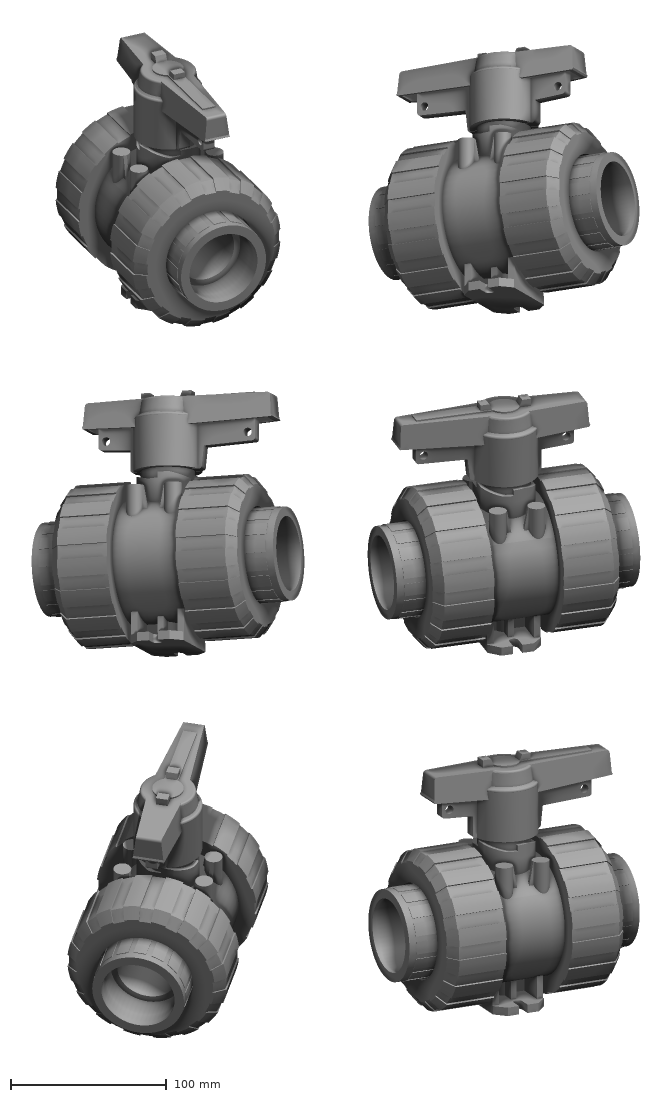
import cadquery as cq
import math

BORE_RADIUS = 19.9
SHELL_RADIUS = 40.9

BODY_HALF_LENGTH = 45.0
STEM_RADIUS = 17.5
STEM_TOP = 73.6
NECK_RADIUS = 20.35
NECK_HALF_WIDTH = 18.6
NECK_TOP = 55.2
CAM_DROP = 3.9
CAM_RAMP_START = -7.9
CAM_RAMP_END = 8.6

PIN_RADIUS = 5.75
PIN_X = 13.0
PIN_Y = 27.0
PIN_TOP = 45.6
GUSSET_THICKNESS = 2.4
GUSSET_SLOPE = 0.187
GUSSET_DIRECTIONS = (0, -112)

FOOT_BOTTOM = -56.45
FOOT_THICKNESS = 5.7
FOOT_HALF_X = 18.1
FOOT_HALF_Y = 28.3
FOOT_CHAMFER = 7.1
FOOT_SLOT_RADIUS = 3.1
FOOT_SLOT_CENTRE = 20.5
FOOT_WALL = 4.6
FOOT_WALL_HALF_Y = 20.4
FOOT_RIB_HALF = 2.0
FOOT_RIB_HALF_Y = 14.4
FOOT_BOSS_RADIUS = 6.1

NUT_INNER_FACE = 23.5
NUT_OUTER_FACE = 63.0
NUT_BEVEL_START = 57.2
NUT_SHOULDER = 55.0
NUT_BORE_RADIUS = 31.7
NUT_RADIUS = 51.65
NUT_BEVEL_DROP = 6.8
NUT_RIB_RADIUS = 52.76
NUT_RIB_ANGLE = 12.5

PIPE_END = 82.2
PIPE_RADIUS = 30.3
SOCKET_RADIUS = 24.2
SOCKET_DEPTH = 25.5
PAD_RADIUS = 30.75
PAD_END = 77.3
PAD_ANGLE = 16.0
RIB_COUNT = 16
RIB_PITCH = 360 / RIB_COUNT

GRIP_TOP = 105.4
GRIP_LEFT = -54.4
GRIP_RIGHT = 72.8
GRIP_DRAFT = 0.9
GRIP_END_ROUND = 2.0
GRIP_END_BOTTOM = 88.2
GRIP_BELLY = 86.0
GRIP_BELLY_SLOPE = 0.04
GRIP_LIP = 0.7
GRIP_LIP_HEIGHT = 1.2
GRIP_HALF_WIDTH_BOTTOM = 14.85
GRIP_HALF_WIDTH_TOP = 12.45
GRIP_TAPER = 0.078
GRIP_WALL = 2.0
GRIP_ROOF = GRIP_TOP - GRIP_WALL

SLEEVE_BOTTOM = 58.7
SLEEVE_RADIUS = 22.15
SLEEVE_SLOT_HALF = 4.8
SHOULDER_RADIUS = 20.9
SHOULDER_BOTTOM = 92.3
SHOULDER_TOP = 94.1
DOME_BASE_RADIUS = 19.6
DOME_BASE = 95.2
DOME_TOP_RADIUS = 17.9
DOME_ROUND = 1.6

BLADE_HALF = 3.9
BLADE_LEFT = -46.0
BLADE_RIGHT = 60.7
BLADE_TIP_BOTTOM = 75.0
BLADE_LEG_X = 24.2
BLADE_LEG_FLARE = 1.6
BLADE_ROUND = 2.0
BLADE_HOLE_RADIUS = 2.8
BLADE_HOLE_INSET = 5.2
BLADE_HOLE_Z = 80.5

CAP_RADIUS = 10.1
CAP_TOP = 106.45
STRIP_HALF = 4.55
TAB_TOP = FOOT_BOTTOM + 166.87
TAB_OUTER = 17.0
TAB_INNER_TOP = 11.1
TAB_INNER_BOTTOM = 9.3


def box(x0, x1, y0, y1, z0, z1):
    """Box between two opposite corners."""
    return cq.Workplane("XY").box(x1 - x0, y1 - y0, z1 - z0, centered=False).translate((x0, y0, z0))


def cylinder(radius, z0, z1):
    """Cylinder on the stem axis."""
    return cq.Workplane("XY").workplane(offset=z0).circle(radius).extrude(z1 - z0)


def turned(profile, angle=360):
    """Revolve (x, radius) points about the pipe axis."""
    return cq.Workplane("XZ").polyline(profile).close().revolve(angle, (0, 0, 0), (1, 0, 0))


def around_pipe(sector, angle, first):
    """Copies of a sector that is `angle` wide, equally spaced about the pipe axis."""
    copies = []
    for i in range(RIB_COUNT):
        turn = first + i * RIB_PITCH - angle / 2
        copies.append(sector.rotate((0, 0, 0), (1, 0, 0), turn))
    return copies


def cam_cutter(quadrant):
    """Space above one ramp of the neck rim: high land, ramp down, low land, upright step."""
    low = NECK_TOP - CAM_DROP
    reach = NECK_RADIUS + 1
    above = NECK_TOP + 1
    slope = CAM_DROP / (CAM_RAMP_END - CAM_RAMP_START)
    ramp = (
        cq.Workplane("YZ")
        .moveTo(CAM_RAMP_START - 1 / slope, above)
        .lineTo(CAM_RAMP_END, low)
        .lineTo(reach, low)
        .lineTo(reach, above)
        .close()
        .extrude(2 * reach)
        .rotate((0, 0, 0), (0, 0, 1), 45)
    )
    cutter = ramp.intersect(box(0, reach, 0, reach, low, above))
    return cutter.rotate((0, 0, 0), (0, 0, 1), 90 * quadrant)


def make_neck():
    neck = cylinder(NECK_RADIUS, 0, NECK_TOP)
    neck = neck.intersect(
        box(-NECK_HALF_WIDTH, NECK_HALF_WIDTH, -NECK_RADIUS, NECK_RADIUS, 0, NECK_TOP)
    )
    for quadrant in range(4):
        neck = neck.cut(cam_cutter(quadrant))
    return neck.union(cylinder(STEM_RADIUS, 0, STEM_TOP))


def make_pin():
    """Pin at -X, +Y with two sloping gussets, rising from inside the barrel."""
    pin = cylinder(PIN_RADIUS, 0, PIN_TOP)
    foot_reach = PIN_RADIUS + GUSSET_SLOPE * PIN_TOP
    for direction in GUSSET_DIRECTIONS:
        gusset = (
            cq.Workplane("XZ")
            .polyline([(0, 0), (foot_reach, 0), (PIN_RADIUS, PIN_TOP), (0, PIN_TOP)])
            .close()
            .extrude(GUSSET_THICKNESS / 2, both=True)
            .rotate((0, 0, 0), (0, 0, 1), direction)
        )
        pin = pin.union(gusset)
    return pin.translate((-PIN_X, PIN_Y, 0))


def make_foot():
    plate_top = FOOT_BOTTOM + FOOT_THICKNESS
    plate = box(-FOOT_HALF_X, FOOT_HALF_X, -FOOT_HALF_Y, FOOT_HALF_Y, FOOT_BOTTOM, plate_top)
    foot = plate.edges("|Z").chamfer(FOOT_CHAMFER)
    for side in (-1, 1):
        slot = (
            cq.Workplane("XY")
            .workplane(offset=FOOT_BOTTOM)
            .center(0, side * FOOT_HALF_Y)
            .slot2D(2 * (FOOT_HALF_Y - FOOT_SLOT_CENTRE + FOOT_SLOT_RADIUS), 2 * FOOT_SLOT_RADIUS, 90)
            .extrude(FOOT_THICKNESS)
        )
        foot = foot.cut(slot)
        wall_middle = side * (FOOT_HALF_X - FOOT_WALL / 2)
        foot = foot.union(
            box(wall_middle - FOOT_WALL / 2, wall_middle + FOOT_WALL / 2,
                -FOOT_WALL_HALF_Y, FOOT_WALL_HALF_Y, plate_top, 0)
        )
    foot = foot.union(box(-FOOT_HALF_X, FOOT_HALF_X, -FOOT_RIB_HALF, FOOT_RIB_HALF, plate_top, 0))
    foot = foot.union(box(-FOOT_RIB_HALF, FOOT_RIB_HALF, -FOOT_RIB_HALF_Y, FOOT_RIB_HALF_Y, plate_top, 0))
    return foot.union(cylinder(FOOT_BOSS_RADIUS, plate_top, 0))


def make_body():
    barrel = cq.Workplane("YZ").circle(SHELL_RADIUS).extrude(BODY_HALF_LENGTH, both=True)
    pin = make_pin()
    body = barrel.union(make_neck()).union(make_foot())
    for one_side in (pin, pin.mirror("YZ")):
        body = body.union(one_side).union(one_side.mirror("XZ"))
    return body.cut(cq.Workplane("YZ").circle(BORE_RADIUS).extrude(BODY_HALF_LENGTH, both=True))


def nut_profile(outer_radius):
    return [
        (NUT_INNER_FACE, SHELL_RADIUS),
        (NUT_INNER_FACE, outer_radius),
        (NUT_BEVEL_START, outer_radius),
        (NUT_OUTER_FACE, outer_radius - NUT_BEVEL_DROP),
        (NUT_OUTER_FACE, NUT_BORE_RADIUS),
        (NUT_SHOULDER, NUT_BORE_RADIUS),
        (NUT_SHOULDER, SHELL_RADIUS),
    ]


def make_nut():
    nut = turned(nut_profile(NUT_RADIUS))
    rib = turned(nut_profile(NUT_RIB_RADIUS), NUT_RIB_ANGLE)
    for copy in around_pipe(rib, NUT_RIB_ANGLE, RIB_PITCH / 2):
        nut = nut.union(copy)
    return nut


def make_connector():
    connector = turned([
        (BODY_HALF_LENGTH, BORE_RADIUS),
        (BODY_HALF_LENGTH, SHELL_RADIUS),
        (NUT_SHOULDER, SHELL_RADIUS),
        (NUT_SHOULDER, PIPE_RADIUS),
        (PIPE_END, PIPE_RADIUS),
        (PIPE_END, SOCKET_RADIUS),
        (PIPE_END - SOCKET_DEPTH, SOCKET_RADIUS),
        (PIPE_END - SOCKET_DEPTH, BORE_RADIUS),
    ]).rotate((0, 0, 0), (1, 0, 0), -90)
    pad_floor = (PIPE_RADIUS + SOCKET_RADIUS) / 2
    pad = turned([
        (NUT_SHOULDER, pad_floor),
        (NUT_SHOULDER, PAD_RADIUS),
        (PAD_END, PAD_RADIUS),
        (PAD_END, pad_floor),
    ], PAD_ANGLE)
    for copy in around_pipe(pad, PAD_ANGLE, 0):
        connector = connector.union(copy)
    return connector


def grip_outline(height, inset):
    """Plan of the grip at a height: widest on the stem axis, narrowing evenly past both ends."""
    rise = (height - GRIP_BELLY) / (GRIP_TOP - GRIP_BELLY)
    half_width = GRIP_HALF_WIDTH_BOTTOM + rise * (GRIP_HALF_WIDTH_TOP - GRIP_HALF_WIDTH_BOTTOM) - inset
    left = GRIP_LEFT - GRIP_LIP
    right = GRIP_RIGHT + GRIP_LIP
    left_half = half_width + GRIP_TAPER * left
    right_half = half_width - GRIP_TAPER * right
    return [
        (left, -left_half),
        (0, -half_width),
        (right, -right_half),
        (right, right_half),
        (0, half_width),
        (left, left_half),
    ]


def grip_taper(inset):
    """Block with the sloping sides of the grip, a little taller than the grip."""
    low = GRIP_BELLY - 1
    high = GRIP_TOP + 1
    return (
        cq.Workplane("XY")
        .workplane(offset=low)
        .polyline(grip_outline(low, inset))
        .close()
        .workplane(offset=high - low)
        .polyline(grip_outline(high, inset))
        .close()
        .loft(ruled=True)
    )


def make_grip():
    lip_middle = GRIP_END_BOTTOM + GRIP_LIP_HEIGHT
    lip_top = lip_middle + GRIP_LIP_HEIGHT
    side = (
        cq.Workplane("XZ")
        .moveTo(0, GRIP_BELLY)
        .lineTo(GRIP_RIGHT, GRIP_BELLY + GRIP_BELLY_SLOPE * GRIP_RIGHT)
        .lineTo(GRIP_RIGHT + GRIP_LIP, lip_middle)
        .lineTo(GRIP_RIGHT, lip_top)
        .lineTo(GRIP_RIGHT - GRIP_DRAFT, GRIP_TOP)
        .lineTo(GRIP_LEFT + GRIP_DRAFT, GRIP_TOP)
        .lineTo(GRIP_LEFT, lip_top)
        .lineTo(GRIP_LEFT - GRIP_LIP, lip_middle)
        .lineTo(GRIP_LEFT, GRIP_BELLY - GRIP_BELLY_SLOPE * GRIP_LEFT)
        .close()
        .extrude(GRIP_HALF_WIDTH_BOTTOM, both=True)
    )
    side = side.faces(">Z").edges("|Y").fillet(GRIP_END_ROUND)
    hollow_ends = box(
        GRIP_LEFT + GRIP_DRAFT + GRIP_WALL, GRIP_RIGHT - GRIP_DRAFT - GRIP_WALL,
        -GRIP_HALF_WIDTH_BOTTOM, GRIP_HALF_WIDTH_BOTTOM,
        GRIP_BELLY - 1, GRIP_ROOF,
    )
    hollow = grip_taper(GRIP_WALL).intersect(hollow_ends)
    return grip_taper(0).intersect(side).cut(hollow)


def make_sleeve():
    """Solid of revolution about the stem axis: sleeve, rounded shoulder and domed hub."""
    bulge = math.sqrt(0.5)
    shoulder_middle = (
        SHOULDER_RADIUS + (SLEEVE_RADIUS - SHOULDER_RADIUS) * bulge,
        SHOULDER_BOTTOM + (SHOULDER_TOP - SHOULDER_BOTTOM) * bulge,
    )
    sleeve = (
        cq.Workplane("XZ")
        .moveTo(0, SLEEVE_BOTTOM)
        .lineTo(SLEEVE_RADIUS, SLEEVE_BOTTOM)
        .lineTo(SLEEVE_RADIUS, SHOULDER_BOTTOM)
        .threePointArc(shoulder_middle, (SHOULDER_RADIUS, SHOULDER_TOP))
        .lineTo(DOME_BASE_RADIUS, DOME_BASE)
        .lineTo(DOME_TOP_RADIUS, GRIP_TOP)
        .lineTo(0, GRIP_TOP)
        .close()
        .revolve(360, (0, 0, 0), (0, 1, 0))
    )
    return sleeve.faces(">Z").edges().fillet(DOME_ROUND)


def make_blade():
    """Web under the grip, with a leg down each side of the sleeve and a hole near each tip."""
    blade = (
        cq.Workplane("XZ")
        .moveTo(BLADE_LEFT, GRIP_ROOF)
        .lineTo(BLADE_LEFT, BLADE_TIP_BOTTOM)
        .lineTo(-BLADE_LEG_X, STEM_TOP)
        .lineTo(-BLADE_LEG_X, SLEEVE_BOTTOM)
        .lineTo(BLADE_LEG_X, SLEEVE_BOTTOM)
        .lineTo(BLADE_LEG_X + BLADE_LEG_FLARE, STEM_TOP)
        .lineTo(BLADE_RIGHT, BLADE_TIP_BOTTOM)
        .lineTo(BLADE_RIGHT, GRIP_ROOF)
        .close()
        .extrude(BLADE_HALF, both=True)
    )
    blade = blade.edges("|Y").edges("<Z or <X or >X").edges("not(>Z)").fillet(BLADE_ROUND)
    holes = (
        cq.Workplane("XZ")
        .pushPoints([
            (BLADE_LEFT + BLADE_HOLE_INSET, BLADE_HOLE_Z),
            (BLADE_RIGHT - BLADE_HOLE_INSET, BLADE_HOLE_Z),
        ])
        .circle(BLADE_HOLE_RADIUS)
        .extrude(BLADE_HALF, both=True)
    )
    return blade.cut(holes).cut(cylinder(STEM_RADIUS, 0, STEM_TOP))


def make_tab():
    """Stop on top of the grip, on the +X side of the cap."""
    return (
        cq.Workplane("XZ")
        .polyline([
            (TAB_INNER_BOTTOM, GRIP_TOP),
            (TAB_OUTER, GRIP_TOP),
            (TAB_OUTER, TAB_TOP),
            (TAB_INNER_TOP, TAB_TOP),
            (TAB_INNER_BOTTOM, CAP_TOP),
        ])
        .close()
        .extrude(BLADE_HALF, both=True)
    )


def make_handle():
    handle = make_grip().union(make_sleeve())
    handle = handle.cut(cylinder(STEM_RADIUS, SLEEVE_BOTTOM, GRIP_END_BOTTOM))
    handle = handle.cut(
        box(-SLEEVE_RADIUS, SLEEVE_RADIUS, -SLEEVE_SLOT_HALF, SLEEVE_SLOT_HALF,
            SLEEVE_BOTTOM, GRIP_END_BOTTOM)
    )
    handle = handle.union(make_blade())
    handle = handle.union(cylinder(CAP_RADIUS, GRIP_TOP, CAP_TOP))
    handle = handle.union(box(0, BLADE_RIGHT, -STRIP_HALF, STRIP_HALF, GRIP_TOP, CAP_TOP))
    tab = make_tab()
    return handle.union(tab).union(tab.mirror("YZ"))


body = make_body()
handle = make_handle()
end_fittings = []
for part in (make_nut(), make_connector()):
    for end in (part, part.mirror("YZ")):
        end_fittings.append(end.val())

result = cq.Compound.makeCompound([body.val(), handle.val(), *end_fittings])